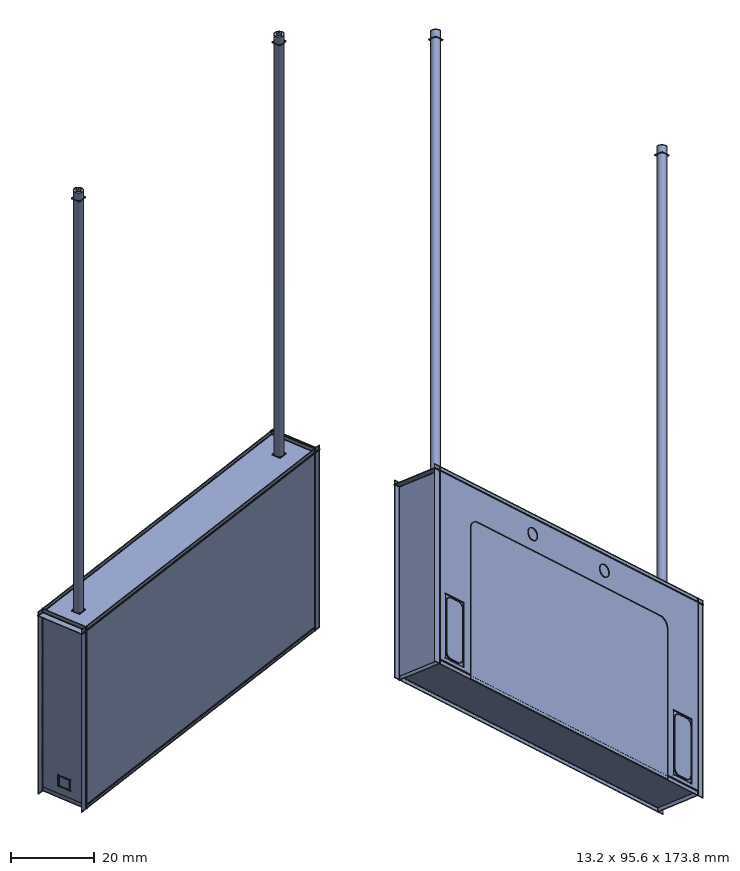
import cadquery as cq

WIDTH = 13.2
LENGTH = 95.6
HEIGHT = 52.8
TOTAL_HEIGHT = 173.8

SHEET = 0.1
END_INSET = 1.7
CAP_INSET = 1.0
CORE_LENGTH = LENGTH - 2 * END_INSET
CORE_TOP = HEIGHT - CAP_INSET

SIDE_INSET = 0.2
SIDE_FACE = WIDTH / 2 - SIDE_INSET
CORE_WIDTH = 2 * (SIDE_FACE - SHEET)

COVER_LENGTH = 70.2
COVER_TOP = 43.0
COVER_RADIUS = 2.6

DIMPLE_DIAMETER = 3.3
DIMPLE_SPACING = 25.5
DIMPLE_Z = HEIGHT - 5.4
DIMPLE_DEPTH = 0.2

PAD_Y = 40.7
PAD_Z = 11.0
POCKET_LENGTH = 6.6
POCKET_HEIGHT = 17.4
POCKET_DEPTH = 0.3
PAD_GAP = 0.5
PAD_LENGTH = POCKET_LENGTH - 2 * PAD_GAP
PAD_HEIGHT = POCKET_HEIGHT - 2 * PAD_GAP
PAD_RADIUS = 1.4

SOCKET_WIDTH = 3.8
SOCKET_HEIGHT = 3.3
SOCKET_DEPTH = 0.3
SOCKET_Z = 4.9
ISLAND_SIDE = 2.8

ROD_Y = 40.3
ROD_DIAMETER = 2.5
BORE_DIAMETER = 1.2
TIP_LENGTH = 2.3
TIP_Z = TOTAL_HEIGHT - TIP_LENGTH
WASHER_SIDE = 2.5
WASHER_THICKNESS = 0.1


def block(x_size, y_size, z_low, z_high):
    """Box centred on the Z axis between two heights."""
    box = cq.Workplane("XY").box(x_size, y_size, z_high - z_low, centered=(True, True, False))
    return box.translate((0, 0, z_low))


def side_plane(y, z):
    """Sketch plane on the -X side sheet, with its normal pointing into the housing."""
    return cq.Workplane("YZ", origin=(-SIDE_FACE, y, z))


def make_shell():
    """Core with its top, floor, end and side sheets."""
    shell = block(CORE_WIDTH, CORE_LENGTH, CAP_INSET, CORE_TOP)
    shell = shell.union(block(WIDTH, LENGTH, CORE_TOP - SHEET, CORE_TOP))
    shell = shell.union(block(WIDTH, CORE_LENGTH, CAP_INSET, CAP_INSET + SHEET))
    end_sheet = block(WIDTH, SHEET, 0, HEIGHT)
    side_sheet = block(SHEET, LENGTH, 0, HEIGHT)
    for side in (-1, 1):
        shell = shell.union(end_sheet.translate((0, side * (CORE_LENGTH - SHEET) / 2, 0)))
        shell = shell.union(side_sheet.translate((side * (SIDE_FACE - SHEET / 2), 0, 0)))
    return shell


def make_cover():
    """Raised panel with rounded upper corners, running down to the bottom edge."""
    panel = block(SIDE_INSET, COVER_LENGTH, 0, COVER_TOP).edges("|X and >Z").fillet(COVER_RADIUS)
    return panel.translate((-SIDE_FACE - SIDE_INSET / 2, 0, 0))


def make_dimple(y):
    return side_plane(y, DIMPLE_Z).circle(DIMPLE_DIAMETER / 2).extrude(DIMPLE_DEPTH)


def make_pocket(y):
    return side_plane(y, PAD_Z).rect(POCKET_LENGTH, POCKET_HEIGHT).extrude(POCKET_DEPTH)


def make_socket_groove():
    end_plane = cq.Workplane("XZ", origin=(0, -CORE_LENGTH / 2, SOCKET_Z))
    outline = end_plane.rect(SOCKET_WIDTH, SOCKET_HEIGHT).rect(ISLAND_SIDE, ISLAND_SIDE)
    return outline.extrude(-SOCKET_DEPTH)


def make_housing():
    housing = make_shell().union(make_cover())
    for side in (-1, 1):
        housing = housing.cut(make_dimple(side * DIMPLE_SPACING / 2))
        housing = housing.cut(make_pocket(side * PAD_Y))
    return housing.cut(make_socket_groove())


def make_pad(y):
    pad = side_plane(y, PAD_Z).rect(PAD_LENGTH, PAD_HEIGHT).extrude(POCKET_DEPTH)
    return pad.edges("|X").fillet(PAD_RADIUS)


def make_rod(y):
    """Rod standing on the top sheet, with a washer at its foot and one below its tip."""
    foot_plane = cq.Workplane("XY", origin=(0, y, CORE_TOP))
    tip_plane = cq.Workplane("XY", origin=(0, y, TIP_Z))
    rod = foot_plane.circle(ROD_DIAMETER / 2).extrude(TOTAL_HEIGHT - CORE_TOP)
    for plane in (foot_plane, tip_plane):
        rod = rod.union(plane.rect(WASHER_SIDE, WASHER_SIDE).extrude(WASHER_THICKNESS))
    return rod.cut(tip_plane.circle(BORE_DIAMETER / 2).extrude(TIP_LENGTH))


housing = make_housing()
rods = [make_rod(side * ROD_Y).val() for side in (-1, 1)]
pads = [make_pad(side * PAD_Y).val() for side in (-1, 1)]

result = cq.Compound.makeCompound([housing.val(), *rods, *pads])